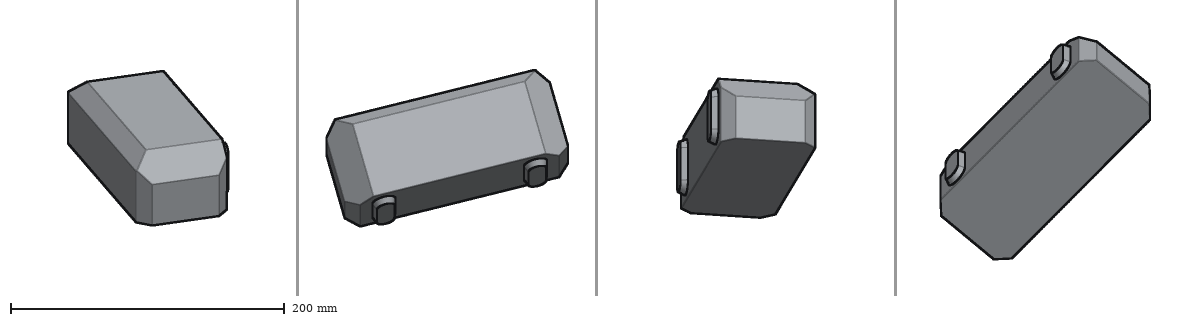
import cadquery as cq
import math

length = 169.1
overall_depth = 75.6
height = 52.5

corner_bevel = 9.3
end_bevel = 19.5
front_bevel = 11.3

edge_round = 0.5

foot_height = 5.0
foot_base_width = 17.6
foot_tip_width = 13.4
foot_straight = 25.0
upright_angle = 90
foot_spacing = 114.6
foot_center_z = 25.7

body_depth = overall_depth - foot_height
front_y = -body_depth / 2
back_y = body_depth / 2
foot_taper = math.degrees(math.atan((foot_base_width - foot_tip_width) / 2 / foot_height))


def make_body():
    """Block with bevelled upright corners, top ends and front top edge, all edges eased."""
    block = (
        cq.Workplane("XY")
        .rect(length, body_depth)
        .extrude(height)
        .edges("|Z")
        .chamfer(corner_bevel)
    )
    end_profile = (
        cq.Workplane("XZ", origin=(0, back_y, 0))
        .moveTo(-length / 2, 0)
        .lineTo(length / 2, 0)
        .lineTo(length / 2, height - end_bevel)
        .lineTo(length / 2 - end_bevel, height)
        .lineTo(-length / 2 + end_bevel, height)
        .lineTo(-length / 2, height - end_bevel)
        .close()
        .extrude(body_depth)
    )
    side_profile = (
        cq.Workplane("YZ", origin=(-length / 2, 0, 0))
        .moveTo(front_y, 0)
        .lineTo(back_y, 0)
        .lineTo(back_y, height)
        .lineTo(front_y + front_bevel, height)
        .lineTo(front_y, height - front_bevel)
        .close()
        .extrude(length)
    )
    bevelled = block.intersect(end_profile).intersect(side_profile)
    return bevelled.edges().fillet(edge_round)


def make_foot(center_x):
    """Upright oblong foot that narrows away from the back face."""
    return (
        cq.Workplane("XZ", origin=(center_x, back_y, foot_center_z))
        .slot2D(foot_straight + foot_base_width, foot_base_width, upright_angle)
        .extrude(-foot_height, taper=foot_taper)
    )


result = make_body()
for side in (-1, 1):
    result = result.union(make_foot(side * foot_spacing / 2))